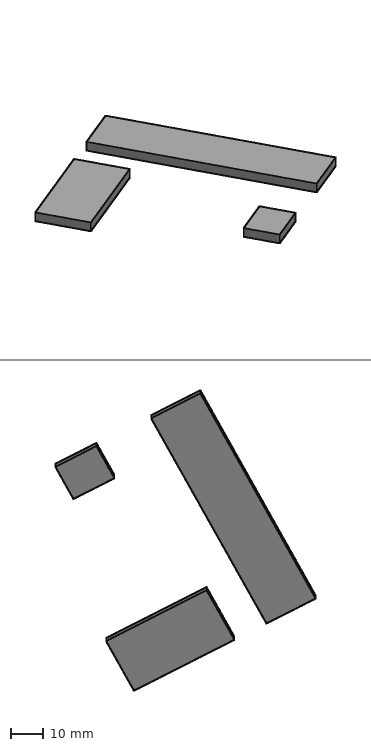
import cadquery as cq

thickness = 3.2
overall_length = 76.2
overall_width = 64.1

bar_width = 17.4

plate_length = 18.45
plate_width = 35.4

block_length = 12.0
block_width = 14.5
block_front = 12.95


def flat_slab(length, width, left, front):
    """Rectangular slab resting on Z = 0 with its front left corner at (left, front)."""
    return cq.Workplane("XY").box(length, width, thickness, centered=False).translate((left, front, 0))


bar = flat_slab(overall_length, bar_width, 0, overall_width - bar_width)
plate = flat_slab(plate_length, plate_width, 0, 0)
block = flat_slab(block_length, block_width, overall_length - block_length, block_front)

result = cq.Compound.makeCompound([bar.val(), plate.val(), block.val()])